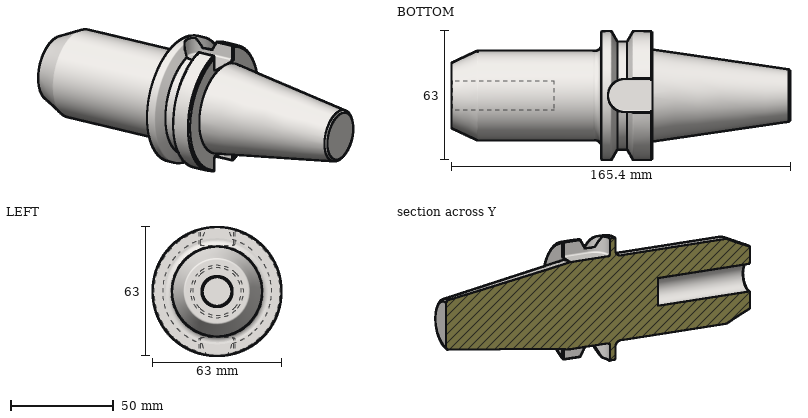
import cadquery as cq
import math


gauge_diameter = 44.45
taper_length = 65.4
taper_ratio = 7 / 24
shank_end_chamfer = 1.0

nose_x = -100.0
body_diameter = 44.0
nose_diameter = 32.0
nose_half_angle = 25.0
nose_edge_fillet = 1.0
shoulder_fillet = 1.0
bore_diameter = 14.0
bore_depth = 50.0
bore_chamfer = 0.6

shoulder_x = nose_x + (body_diameter - nose_diameter) / 2 / math.tan(math.radians(nose_half_angle))

undercut_depth = 0.1
undercut_ramp_length = 1.0
neck_blend_radius = 3.0

flange_diameter = 63.0
flange_front_x = -27.0
flange_rear_x = -2.0
flange_front_fillet = 1.0
flange_rear_chamfer = 0.8
groove_center_x = -16.7
groove_floor_diameter = 53.0
groove_floor_width = 4.8
groove_wall_angle = 30.0
groove_edge_fillet = 0.8

slot_width = 16.1
slot_center_x = -15.6
slot_floor_height = 22.5
slot_floor_fillet = 0.9
slot_mouth_bevel = 0.5
cutter_clearance = 1.0
cutter_top = flange_diameter / 2 + cutter_clearance

groove_half_floor = groove_floor_width / 2
groove_depth = (flange_diameter - groove_floor_diameter) / 2
groove_half_mouth = groove_half_floor + groove_depth * math.tan(math.radians(groove_wall_angle))
groove_mouth_front_x = groove_center_x - groove_half_mouth
groove_mouth_rear_x = groove_center_x + groove_half_mouth


def taper_radius(x):
    """Radius of the taper cone at position x."""
    return (gauge_diameter - x * taper_ratio) / 2


def make_body():
    """Revolve the whole outer profile, with sharp edges, around the X axis."""
    body_radius = body_diameter / 2
    nose_radius = nose_diameter / 2
    flange_radius = flange_diameter / 2
    groove_floor_radius = groove_floor_diameter / 2

    neck_radius = body_radius - undercut_depth
    undercut_x = flange_front_x + undercut_depth
    blend_start_x = undercut_x - neck_blend_radius
    blend_end_radius = neck_radius + neck_blend_radius
    arc_offset = neck_blend_radius * math.sqrt(0.5)
    blend_middle = (blend_start_x + arc_offset, blend_end_radius - arc_offset)

    profile = (
        cq.Workplane("XY")
        .moveTo(nose_x, 0)
        .lineTo(nose_x, nose_radius)
        .lineTo(shoulder_x, body_radius)
        .lineTo(blend_start_x - undercut_ramp_length, body_radius)
        .lineTo(blend_start_x, neck_radius)
        .threePointArc(blend_middle, (undercut_x, blend_end_radius))
        .lineTo(flange_front_x, blend_end_radius + undercut_ramp_length)
        .lineTo(flange_front_x, flange_radius)
        .lineTo(groove_mouth_front_x, flange_radius)
        .lineTo(groove_center_x - groove_half_floor, groove_floor_radius)
        .lineTo(groove_center_x + groove_half_floor, groove_floor_radius)
        .lineTo(groove_mouth_rear_x, flange_radius)
        .lineTo(flange_rear_x, flange_radius)
        .lineTo(flange_rear_x, taper_radius(flange_rear_x))
        .lineTo(taper_length, taper_radius(taper_length))
        .lineTo(taper_length, 0)
        .close()
    )
    return profile.revolve(360, (0, 0, 0), (1, 0, 0))


def circular_edges(body, radius, *positions):
    """Collect the circular edges of one radius whose planes lie at the given X positions."""
    tolerance = 0.01
    edges = [
        edge
        for edge in body.edges("%CIRCLE").vals()
        if abs(edge.radius() - radius) < tolerance
        and any(abs(edge.Center().x - x) < tolerance for x in positions)
    ]
    return body.newObject(edges)


def break_edges(body):
    flange_radius = flange_diameter / 2
    groove_lips = circular_edges(body, flange_radius, groove_mouth_front_x, groove_mouth_rear_x)
    body = groove_lips.fillet(groove_edge_fillet)
    body = circular_edges(body, flange_radius, flange_front_x).fillet(flange_front_fillet)
    body = circular_edges(body, flange_radius, flange_rear_x).chamfer(flange_rear_chamfer)
    body = circular_edges(body, body_diameter / 2, shoulder_x).fillet(shoulder_fillet)
    body = body.faces("<X").edges().fillet(nose_edge_fillet)
    return body.faces(">X").edges().chamfer(shank_end_chamfer)


def cut_bore(body):
    bore_radius = bore_diameter / 2
    rim_radius = bore_radius + bore_chamfer
    rim_center = cq.Vector(nose_x, 0, 0)
    inward = cq.Vector(1, 0, 0)
    bore = cq.Solid.makeCylinder(bore_radius, bore_depth, rim_center, inward)
    countersink = cq.Solid.makeCone(rim_radius, bore_radius, bore_chamfer, rim_center, inward)
    return body.cut(bore).cut(countersink)


def make_slot_cutter():
    """Round-ended slot, open toward +X, flaring at the rear face, with a rounded foot around its floor."""
    half_width = slot_width / 2
    flare_start_x = flange_rear_x - flange_rear_chamfer
    flare_half_width = half_width + flange_rear_chamfer
    cutter = (
        cq.Workplane("XY", origin=(0, 0, slot_floor_height))
        .moveTo(slot_center_x, half_width)
        .threePointArc((slot_center_x - half_width, 0), (slot_center_x, -half_width))
        .lineTo(flare_start_x, -half_width)
        .lineTo(flange_rear_x, -flare_half_width)
        .lineTo(flange_rear_x, flare_half_width)
        .lineTo(flare_start_x, half_width)
        .close()
        .extrude(cutter_top - slot_floor_height)
    )
    open_end = cutter.faces("<Z").edges(">X").val()
    foot_edges = [edge for edge in cutter.faces("<Z").edges().vals() if not edge.isSame(open_end)]
    return cutter.newObject(foot_edges).fillet(slot_floor_fillet)


def make_mouth_cutter():
    """Wedge that bevels the long slot edges at 45 degrees where they meet the rear land of the flange."""
    half_width = slot_width / 2
    mouth_height = math.sqrt((flange_diameter / 2) ** 2 - half_width**2)
    bevel_start_z = mouth_height - slot_mouth_bevel
    top_half_width = half_width + cutter_top - bevel_start_z
    return (
        cq.Workplane("YZ", origin=(groove_center_x, 0, 0))
        .moveTo(-half_width, bevel_start_z)
        .lineTo(half_width, bevel_start_z)
        .lineTo(top_half_width, cutter_top)
        .lineTo(-top_half_width, cutter_top)
        .close()
        .extrude(flange_rear_x - groove_center_x)
    )


def cut_slots(body):
    for cutter in (make_slot_cutter(), make_mouth_cutter()):
        for angle in (0, 180):
            body = body.cut(cutter.rotate((0, 0, 0), (1, 0, 0), angle))
    return body


result = cut_slots(cut_bore(break_edges(make_body())))